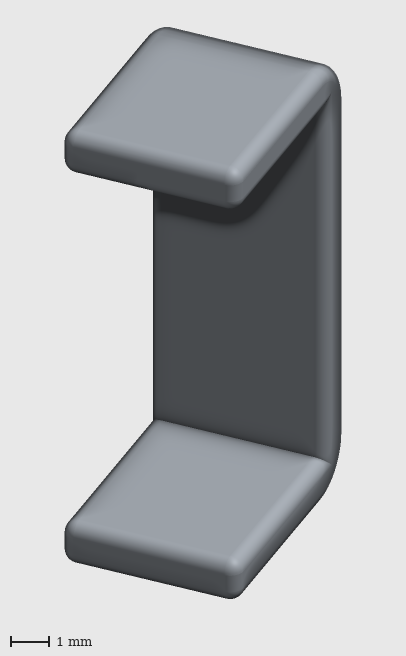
import cadquery as cq

width = 5.08
depth = 6.93
height = 13.34

thickness = 1.27
outer_bend_radius = 1.52
edge_radius = 0.38

inner_height = height - 2 * thickness


def make_channel():
    """Web at +Y with two legs reaching toward -Y; outer bends round, inner corners sharp."""
    block = cq.Workplane("XY").box(width, depth, height)
    block = block.edges("|X and >Y").fillet(outer_bend_radius)
    opening = cq.Workplane("XY").box(width, depth, inner_height).translate((0, -thickness, 0))
    return block.cut(opening)


def round_edges(channel):
    """Round both side outlines and the leg tips, leaving the inner corners sharp."""
    side_edges = channel.faces("<X or >X").edges()
    tip_edges = channel.faces("<Y").edges("|X")
    return side_edges.add(tip_edges).fillet(edge_radius)


result = round_edges(make_channel())